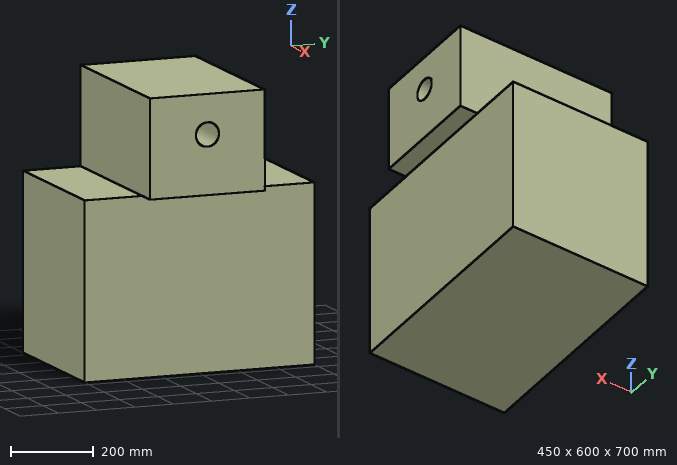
import cadquery as cq

base_length = 400.0
base_width = 600.0
base_height = 450.0

head_length = 450.0
head_width = base_width / 2
total_height = 700.0
head_height = total_height - base_height

hole_diameter = 60.0
hole_drop = 100.0


def block(length, width, height, bottom):
    """Box starting at X = 0, centred on Y, standing on the given level."""
    return (
        cq.Workplane("XY", origin=(0, 0, bottom))
        .box(length, width, height, centered=(False, True, False))
    )


base = block(base_length, base_width, base_height, 0)
head = block(head_length, head_width, head_height, base_height)

hole = (
    cq.Workplane("YZ")
    .center(0, total_height - hole_drop)
    .circle(hole_diameter / 2)
    .extrude(head_length)
)

result = base.union(head).cut(hole)